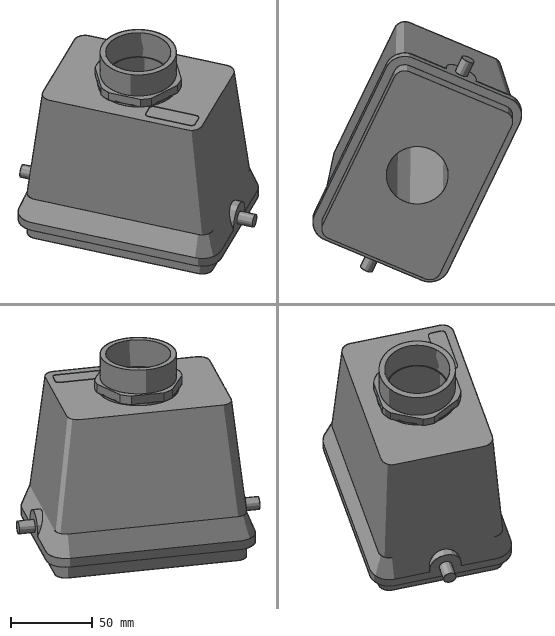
import cadquery as cq

skirt_top = 10.0
flange_top = 16.0
slope_top = 30.0
hood_top = 105.0
total_height = 128.5

skirt_length = 121.0
skirt_width = 79.0
flange_overhang = 5.5
roof_length = 104.0
roof_width = 71.0
corner_radius = 7.0

ring_diameter = 50.0
ring_height = 1.5
nut_across_flats = 50.0
nut_across_corners = 54.1
nut_height = 5.8
nut_sides = 6
tube_diameter = 47.0
bore_diameter = 38.0
socket_mouth_diameter = 40.0
socket_floor_diameter = 39.0
socket_depth = 18.0

pin_span = 152.0
pin_diameter = 8.0
pin_height = 18.5
boss_width = 20.0

label_length = 32.2
label_width = 11.0
label_corner_radius = 2.5
label_depth = 0.3
label_x = 31.2
label_y = -25.0

flange_length = skirt_length + 2 * flange_overhang
flange_width = skirt_width + 2 * flange_overhang
flange_corner_radius = corner_radius + flange_overhang


def tapered_prism(plane, lower_size, upper_size, depth):
    """Symmetric trapezium between the foot and the roof of the hood, extruded both ways."""
    outline = [
        (-lower_size / 2, slope_top),
        (lower_size / 2, slope_top),
        (upper_size / 2, hood_top),
        (-upper_size / 2, hood_top),
    ]
    return cq.Workplane(plane).polyline(outline).close().extrude(depth / 2, both=True)


def rounded_block(bottom, top, length, width, radius):
    """Upright block with rounded vertical corners."""
    outline = cq.Sketch().rect(length, width).vertices().fillet(radius)
    return cq.Workplane("XY").workplane(offset=bottom).placeSketch(outline).extrude(top - bottom)


def disc(bottom, height, diameter):
    return cq.Workplane("XY").workplane(offset=bottom).circle(diameter / 2).extrude(height)


def make_slope():
    """Sloping shoulder from the flange in to the foot of the hood, with conical corners."""
    lower = cq.Sketch().rect(flange_length, flange_width).vertices().fillet(flange_corner_radius)
    upper = cq.Sketch().rect(skirt_length, skirt_width).vertices().fillet(corner_radius)
    rise = cq.Location(cq.Vector(0, 0, slope_top - flange_top))
    return (
        cq.Workplane("XY").workplane(offset=flange_top)
        .placeSketch(lower, upper.moved(rise))
        .loft(ruled=True)
    )


def make_hood():
    skirt = rounded_block(0, skirt_top, skirt_length, skirt_width, corner_radius)
    flange = rounded_block(skirt_top, flange_top, flange_length, flange_width, flange_corner_radius)
    long_profile = tapered_prism("XZ", skirt_length, roof_length, skirt_width)
    short_profile = tapered_prism("YZ", skirt_width, roof_width, skirt_length)
    upper_hood = long_profile.intersect(short_profile)
    upper_hood = upper_hood.edges("not(#Z)").fillet(corner_radius)
    return skirt.union(flange).union(make_slope()).union(upper_hood)


def make_gland():
    """Round collar, hexagonal nut with rounded corners, and plain tube."""
    nut_bottom = hood_top + ring_height
    nut_top = nut_bottom + nut_height
    collar = disc(hood_top, ring_height, ring_diameter)
    nut = (
        cq.Workplane("XY").workplane(offset=nut_bottom)
        .polygon(nut_sides, nut_across_flats, circumscribed=True).extrude(nut_height)
        .rotate((0, 0, 0), (0, 0, 1), 180 / nut_sides)
        .intersect(disc(nut_bottom, nut_height, nut_across_corners))
    )
    tube = disc(nut_top, total_height - nut_top, tube_diameter)
    return collar.union(nut).union(tube)


def make_bore():
    """Through bore that opens into a slightly tapered socket at the top."""
    socket = (
        cq.Workplane("XY").workplane(offset=total_height - socket_depth)
        .circle(socket_floor_diameter / 2)
        .workplane(offset=socket_depth)
        .circle(socket_mouth_diameter / 2)
        .loft(ruled=True)
    )
    return disc(0, total_height, bore_diameter).union(socket)


def make_bosses():
    """Round-topped pads that carry the pins, flush with both ends of the flange."""
    half_width = boss_width / 2
    return (
        cq.Workplane("YZ")
        .moveTo(-half_width, skirt_top)
        .lineTo(half_width, skirt_top)
        .lineTo(half_width, pin_height)
        .threePointArc((0, pin_height + half_width), (-half_width, pin_height))
        .close()
        .extrude(flange_length / 2, both=True)
    )


def make_pins():
    return (
        cq.Workplane("YZ").center(0, pin_height)
        .circle(pin_diameter / 2).extrude(pin_span / 2, both=True)
    )


def make_label_panel():
    panel = rounded_block(
        hood_top - label_depth, hood_top, label_length, label_width, label_corner_radius
    )
    return panel.translate((label_x, label_y, 0))


result = (
    make_hood()
    .union(make_bosses())
    .union(make_pins())
    .cut(make_label_panel())
    .union(make_gland())
    .cut(make_bore())
)